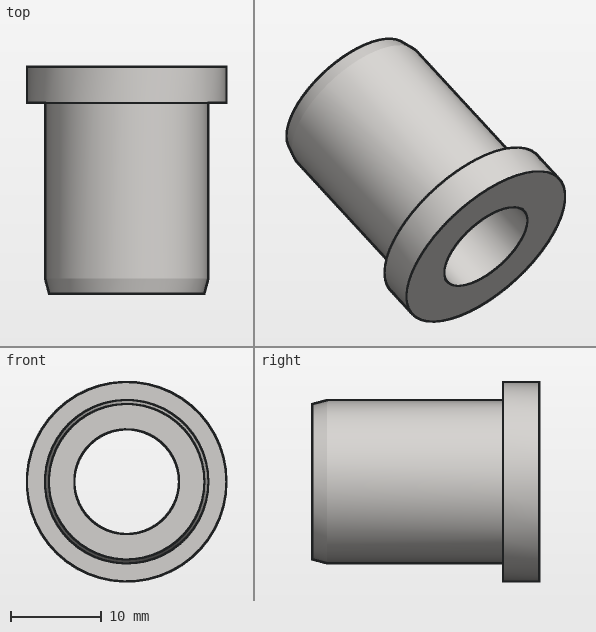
import cadquery as cq
import math

total_length = 25.0
head_diameter = 22.0
head_thickness = 4.0
body_diameter = 18.0
bore_diameter = 11.5

taper_length = 1.65
taper_angle = 15.0

head_radius = head_diameter / 2
body_radius = body_diameter / 2
bore_radius = bore_diameter / 2
tip_radius = body_radius - taper_length * math.tan(math.radians(taper_angle))
head_start = total_length - head_thickness

half_section = [
    (bore_radius, 0),
    (tip_radius, 0),
    (body_radius, taper_length),
    (body_radius, head_start),
    (head_radius, head_start),
    (head_radius, total_length),
    (bore_radius, total_length),
]

result = (
    cq.Workplane("XY")
    .polyline(half_section)
    .close()
    .revolve(360, (0, 0, 0), (0, 1, 0))
)